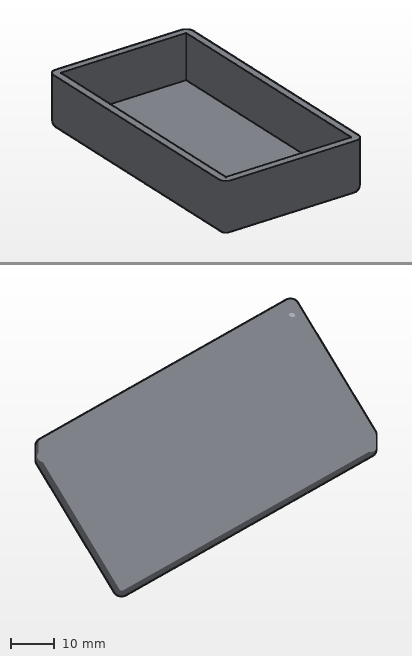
import cadquery as cq

length = 69.0
width = 39.0
height = 14.0

wall = 2.0
floor = wall
edge_radius = wall


def outer_block():
    """Solid block with rounded upright corners and a rounded bottom edge."""
    block = cq.Workplane("XY").box(length, width, height, centered=(True, True, False))
    return block.edges("|Z").fillet(edge_radius).faces("<Z").edges().fillet(edge_radius)


def cavity():
    """Sharp-cornered pocket, open at the top."""
    return (
        cq.Workplane("XY")
        .workplane(offset=floor)
        .rect(length - 2 * wall, width - 2 * wall)
        .extrude(height - floor)
    )


result = outer_block().cut(cavity())